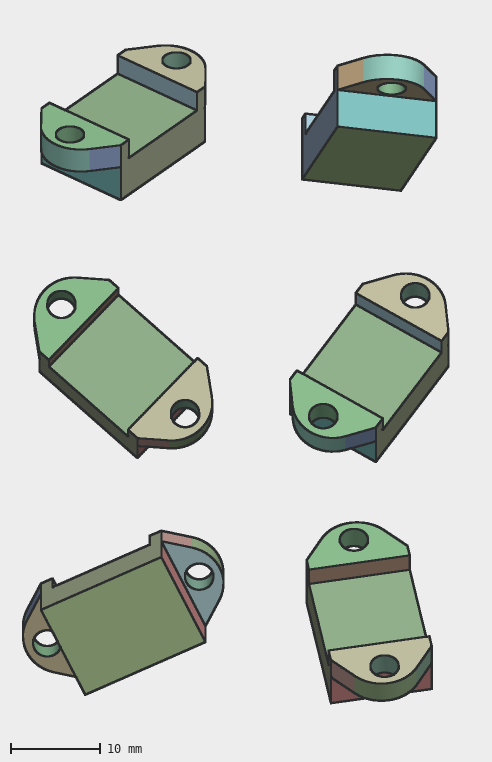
import cadquery as cq
import math

width = 11.5
length = 23.97
height = 7.5

body_length = 14.95
channel_length = 12.08
channel_depth = 2.5

ear_thickness = 3.0
hole_diameter = 3.19
hole_spacing = 18.9

nose_radius = (length - body_length) / 2


def make_body():
    body = cq.Workplane("XY").box(width, body_length, height, centered=(True, True, False))
    channel = (
        cq.Workplane("XY")
        .workplane(offset=height - channel_depth)
        .rect(width, channel_length)
        .extrude(channel_depth)
    )
    return body.cut(channel)


def make_ear():
    """Ear at the +Y end, with straight flanks tangent to its round nose."""
    half_width = width / 2
    root_y = body_length / 2
    inner_y = channel_length / 2
    tangent_angle = math.acos(nose_radius / half_width)
    tangent_x = nose_radius * math.cos(tangent_angle)
    tangent_y = root_y + nose_radius * math.sin(tangent_angle)
    return (
        cq.Workplane("XY")
        .workplane(offset=height - ear_thickness)
        .moveTo(-half_width, inner_y)
        .lineTo(half_width, inner_y)
        .lineTo(half_width, root_y)
        .lineTo(tangent_x, tangent_y)
        .threePointArc((0, length / 2), (-tangent_x, tangent_y))
        .lineTo(-half_width, root_y)
        .close()
        .extrude(ear_thickness)
    )


def make_holes():
    """Cutters for the ear holes, reaching down only through the ears."""
    return (
        cq.Workplane("XY")
        .workplane(offset=height - ear_thickness)
        .pushPoints([(0, -hole_spacing / 2), (0, hole_spacing / 2)])
        .circle(hole_diameter / 2)
        .extrude(ear_thickness)
    )


ear = make_ear()
result = make_body().union(ear).union(ear.mirror("XZ")).cut(make_holes())